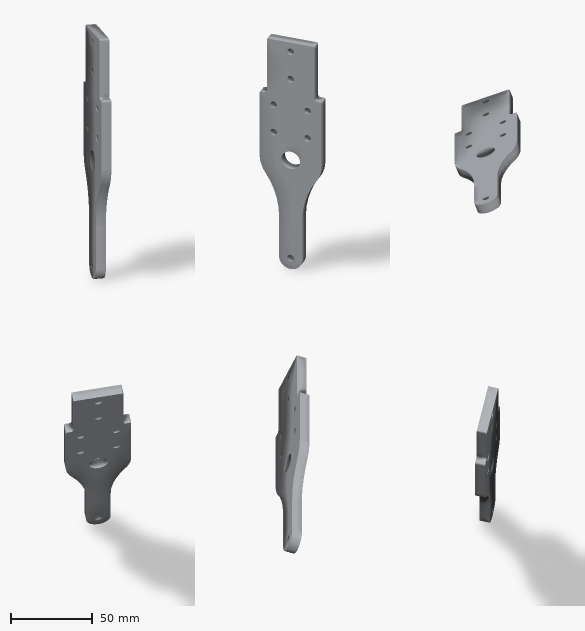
import cadquery as cq
import math

length = 158.8
thickness = 6.4
body_width = 40.6
tab_width = 31.3
neck_width = 15.2

shoulder_height = 120.6
bore_height = 76.2

flank_radius = 50.0
corner_radius = 1.0
shoulder_fillet = 1.5

bore_diameter = 12.0
hole_diameter = 4.5
hole_pitch = 19.2
top_hole_height = 152.4
upper_pair_height = 113.0
pair_spacing = 22.2

half_body = body_width / 2
half_tab = tab_width / 2
half_neck = neck_width / 2

center_distance = half_body + flank_radius
flank_center_x = half_neck + flank_radius
flank_drop = math.sqrt(center_distance**2 - flank_center_x**2)
flank_center_z = bore_height - flank_drop
arc_angle = math.asin(flank_drop / center_distance)


def body_arc_point(angle):
    """Point on the body arc, at an angle below horizontal."""
    return (half_body * math.cos(angle), bore_height - half_body * math.sin(angle))


def flank_arc_point(angle):
    """Point on the concave flank arc, at an angle above its neck end."""
    return (
        flank_center_x - flank_radius * math.cos(angle),
        flank_center_z + flank_radius * math.sin(angle),
    )


def mirrored(point):
    return (-point[0], point[1])


def make_plate():
    body_mid = body_arc_point(arc_angle / 2)
    joint = body_arc_point(arc_angle)
    flank_mid = flank_arc_point(arc_angle / 2)
    neck_top = (half_neck, flank_center_z)
    neck_bottom = (half_neck, half_neck)
    body_side = (half_body, bore_height)

    plate = (
        cq.Workplane("XZ")
        .moveTo(-half_tab, length)
        .lineTo(half_tab, length)
        .lineTo(half_tab, shoulder_height)
        .lineTo(half_body, shoulder_height)
        .lineTo(*body_side)
        .threePointArc(body_mid, joint)
        .threePointArc(flank_mid, neck_top)
        .lineTo(*neck_bottom)
        .threePointArc((0, 0), mirrored(neck_bottom))
        .lineTo(*mirrored(neck_top))
        .threePointArc(mirrored(flank_mid), mirrored(joint))
        .threePointArc(mirrored(body_mid), mirrored(body_side))
        .lineTo(-half_body, shoulder_height)
        .lineTo(-half_tab, shoulder_height)
        .close()
        .extrude(thickness / 2, both=True)
    )
    return plate


def round_edges(plate, x, z, radius):
    """Round the two mirrored through-thickness edges at +/-x and height z."""
    for side in (-1, 1):
        corner = cq.Vector(side * x, 0, z)
        plate = plate.edges(cq.selectors.NearestToPointSelector(corner)).fillet(radius)
    return plate


def drill(plate, points, diameter):
    cutter = (
        cq.Workplane("XZ")
        .pushPoints(points)
        .circle(diameter / 2)
        .extrude(thickness, both=True)
    )
    return plate.cut(cutter)


plate = make_plate()
plate = round_edges(plate, half_tab, length, corner_radius)
plate = round_edges(plate, half_body, shoulder_height, corner_radius)
plate = round_edges(plate, half_tab, shoulder_height, shoulder_fillet)

center_holes = [
    (0, top_hole_height),
    (0, top_hole_height - hole_pitch),
    (0, half_neck),
]
paired_holes = [
    (side * pair_spacing / 2, height)
    for side in (-1, 1)
    for height in (upper_pair_height, upper_pair_height - hole_pitch)
]
plate = drill(plate, center_holes + paired_holes, hole_diameter)
result = drill(plate, [(0, bore_height)], bore_diameter)